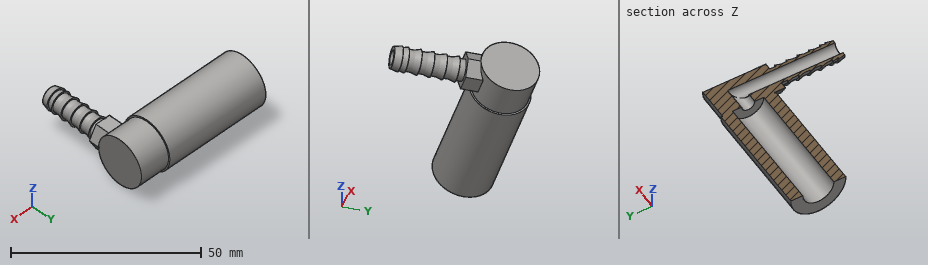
import cadquery as cq
import math

total_length = 45.5
sleeve_diameter = 17.0
collar_diameter = 16.0
collar_length = 10.0
sleeve_length = total_length - collar_length

socket_diameter = 9.5
socket_depth = sleeve_length

passage_diameter = 4.0

hex_across_flats = 8.65
hex_corner_width = hex_across_flats / math.cos(math.pi / 6)
hex_face_y = -11.5

nozzle_x = sleeve_length + collar_length / 2
nozzle_tip_y = -31.0
neck_diameter = 6.0
barb_diameter = 7.0
barb_length = 1.7
barb_gap = 1.77
barb_count = 5


def make_body():
    sleeve = cq.Workplane("YZ").circle(sleeve_diameter / 2).extrude(sleeve_length)
    collar = (
        cq.Workplane("YZ", origin=(sleeve_length, 0, 0))
        .circle(collar_diameter / 2)
        .extrude(collar_length)
    )
    return sleeve.union(collar)


def make_hex_base():
    return (
        cq.Workplane("XZ", origin=(nozzle_x, 0, 0))
        .polygon(6, hex_corner_width)
        .extrude(-hex_face_y)
    )


def make_nozzle():
    neck_radius = neck_diameter / 2
    barb_radius = barb_diameter / 2

    profile = [(0, hex_face_y), (neck_radius, hex_face_y)]
    y = hex_face_y
    for _ in range(barb_count):
        y -= barb_gap
        profile += [(neck_radius, y), (barb_radius, y)]
        y -= barb_length
        profile.append((neck_radius, y))

    profile += [(barb_radius, y), (neck_radius, nozzle_tip_y), (0, nozzle_tip_y)]
    return (
        cq.Workplane("XY", origin=(nozzle_x, 0, 0))
        .polyline(profile)
        .close()
        .revolve(360, (0, 0, 0), (0, 1, 0))
    )


def make_socket():
    return cq.Workplane("YZ").circle(socket_diameter / 2).extrude(socket_depth)


def make_passage():
    path = cq.Workplane("XY").polyline([(0, 0), (nozzle_x, 0), (nozzle_x, nozzle_tip_y)])
    return cq.Workplane("YZ").circle(passage_diameter / 2).sweep(path, transition="right")


solid_part = make_body().union(make_hex_base()).union(make_nozzle())
result = solid_part.cut(make_socket()).cut(make_passage())